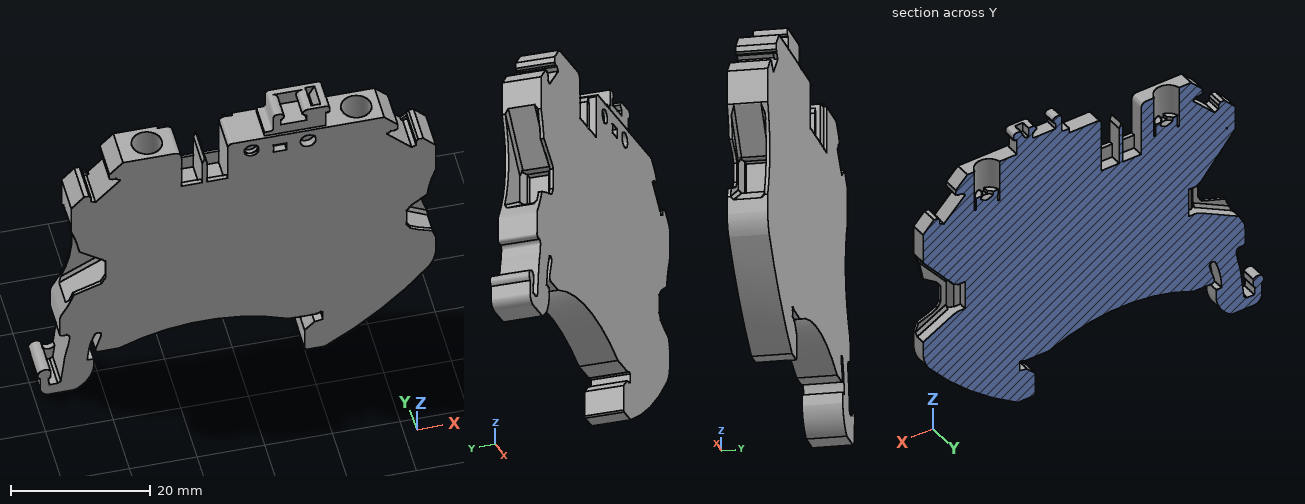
import cadquery as cq
import math

LENGTH = 58.85
THICK = 6.0
HEIGHT = 49.5
BODY_TOP = 45.55
HEAD_HALF = 26.95
MID_X = LENGTH - HEAD_HALF
SKIN = 0.55
WASTE = 0.6

SHOULDER = [
    (19.3, BODY_TOP), (21.3, 43.55), (21.3, 42.65), (20.9, 42.45), (20.3, 42.45), (19.7, 41.95),
    (23.35, 38.3), (24.0, 38.6), (24.0, 39.3), (24.3, 39.8), (25.05, 39.8), (HEAD_HALF, 37.85),
]
UPPER_UNDERCUT = [(20.9, 42.45), (20.3, 42.45), (19.7, 41.95), (20.1, 41.55), (20.9, 42.2)]
LOWER_UNDERCUT = [(23.35, 38.3), (24.0, 38.6), (24.0, 39.3), (23.05, 38.6)]
WAIST_TOP = 32.8
WAIST_Z = 25.9
WAIST_DEPTH = 1.4

SLOT_LEFT = 21.25
SLOT_RIGHT = 28.1
SLOT_FLOOR = 38.55
SLOT_LEFT_ROUND = (1.05, 0.9)
SLOT_RIGHT_ROUND = (1.0, 0.55)
SLOT_FRONT_WALL = 0.7
SLOT_POCKET_DROP = 2.35
BLADE_X = 24.65
BLADE_THICK = 0.7
BLADE_SHOULDER = 42.55
BLADE_TIP = 43.45
BACK_RECESS_LEFT = 19.05
BACK_RECESS_RIGHT = 30.1
BACK_RECESS_DEPTH = 0.5

RAIL_TOP = 7.05
RAIL_ARCH_LEFT = 12.05
RAIL_ARCH_RIGHT = 37.1
RAIL_ARCH_TOP = 9.7
RAIL_STEP = 5.75
HOOK_RADIUS = 1.05
HOOK_Z = 4.2
HOOK_WALL_OUT = 0.35
HOOK_WALL_IN = 1.9
HOOK_WEB = 1.0

SCREW_X = [16.85, 47.8]
WELL_DIA = 4.4
WELL_DEPTH = 7.05
SCREW_DIA = 4.0
SCREW_RISE = 2.05
SCREW_SLOT = 0.8
SCREW_SLOT_DEPTH = 0.6
SCREW_DIMPLE_DIA = 2.3
SCREW_CONE_DEPTH = 0.9

ENTRY_CHAMFER = 0.5
WINDOW_Y = (1.3, 4.65)
WINDOW_Z = (21.25, 26.05)
WINDOW_DEPTH = 1.2
NECK_DEPTH = 0.75
THROAT_Z = (21.0, 26.4)
LEFT_THROAT = 11.0
LEFT_OPENING = [
    (4.1, 30.0), (5.95, 28.7), (9.7, 25.95), (10.05, 25.5),
    (10.05, 22.35), (9.4, 21.2), (5.2, 19.7), (4.1, 19.4),
]
LEFT_FUNNEL = [(2.95, 35.95), (LEFT_THROAT, THROAT_Z[1]), (LEFT_THROAT, THROAT_Z[0]), (2.95, 16.8)]
RIGHT_THROAT = 53.55
RIGHT_OPENING = [
    (LENGTH + WASTE, 29.25), (57.55, 27.9), (55.3, 26.35), (54.5, 25.3),
    (54.5, 22.4), (55.1, 21.55), (56.2, 20.95), (LENGTH + WASTE, 19.8),
]
RIGHT_FUNNEL = [
    (LENGTH + 2 * WASTE, 34.1), (RIGHT_THROAT, THROAT_Z[1]), (RIGHT_THROAT, THROAT_Z[0]),
    (LENGTH + 2 * WASTE, 17.6),
]

PORT_Z = 43.45
PORT_DEPTH = 1.2
PIN_PORT_X = 31.6
PIN_PORT_DIA = 2.0
PIN_PORT_RIM_DIA = 2.1
PIN_PORT_RIM_DEPTH = 0.5
TEST_PORT_X = 39.95
TEST_PORT_DIA = 2.3
WINDOW_PORT_X = (34.85, 36.8)
WINDOW_PORT_Z = (42.3, 43.7)

CLIP_FRONT = 0.4
CLIP_BACK = 5.5
CLIP_FOOT_LEFT = 33.6
CLIP_FOOT_TOP = 46.3
CLIP_LEFT = 34.9
CLIP_RIGHT = 43.25
CLIP_NECK_RIGHT = 42.65
CLIP_LIP_BOTTOM = 48.15
CLIP_GROOVE_MOUTH_X = (35.6, 40.1)
CLIP_GROOVE_FLOOR = 47.3
CLIP_GROOVE_BACK = 4.4
CLIP_FOOT_ROUND = 0.5
CLIP_TOP_ROUND = 0.6
CLIP_SLOT_X = (40.65, 42.0)
CLIP_SLOT_FLAT = 0.55
CLIP_SLOT_Y = (1.05, 4.7)
CLIP_SLOT_DEPTH = 1.55


def sketch(y_start):
    """XZ sketch plane at y_start; a negative extrusion runs towards the back face."""
    return cq.Workplane("XZ", origin=(0, y_start, 0))


def plate(points, y_start, y_end):
    """Straight-sided profile in XZ, thickened from y_start to y_end."""
    return sketch(y_start).polyline(points).close().extrude(y_start - y_end)


def box(x_range, y_range, z_range):
    (x0, x1), (y0, y1), (z0, z1) = x_range, y_range, z_range
    return cq.Workplane("XY").box(x1 - x0, y1 - y0, z1 - z0, centered=False).translate((x0, y0, z0))


def on_side(points, side):
    """Place (distance from MID_X, Z) points on the left (-1) or right (+1) side."""
    return [(MID_X + side * distance, z) for distance, z in points]


def make_body():
    """Full-thickness outline: shoulders, waists, rail foot with hook, and the top slot."""
    left = on_side(SHOULDER, -1)
    right = on_side(SHOULDER, 1)
    left_edge = left[-1][0]
    hook_top = HOOK_Z + math.sqrt(HOOK_RADIUS**2 - (HOOK_WALL_IN - HOOK_RADIUS) ** 2)
    hook_bottom = HOOK_Z - math.sqrt(HOOK_RADIUS**2 - (HOOK_RADIUS - HOOK_WALL_OUT) ** 2)
    left_run, left_drop = SLOT_LEFT_ROUND
    right_run, right_drop = SLOT_RIGHT_ROUND
    bulge = 1 - math.sqrt(0.5)
    outline = (
        sketch(0).moveTo(*left[0]).polyline(left[1:], includeCurrent=True)
        .lineTo(left_edge, WAIST_TOP)
        .threePointArc((left_edge + WAIST_DEPTH, WAIST_Z), (3.5, 16.0))
        .threePointArc((3.3, 15.5), (3.25, 14.95))
        .lineTo(3.25, 12.25)
        .threePointArc((3.35, 11.8), (3.65, 11.7))
        .lineTo(4.3, 11.7)
        .threePointArc((4.6, 11.5), (4.7, 10.95))
        .lineTo(4.55, 9.7)
        .threePointArc((4.05, 7.6), (3.75, 5.3))
        .lineTo(3.4, 2.35)
        .lineTo(2.95, 2.0)
        .lineTo(1.7, 2.0)
        .lineTo(1.6, 3.2)
        .lineTo(HOOK_WALL_IN, 3.6)
        .lineTo(HOOK_WALL_IN, hook_top)
        .threePointArc((0, HOOK_Z), (HOOK_WALL_OUT, hook_bottom))
        .lineTo(HOOK_WALL_OUT, 1.6)
        .threePointArc((0.7, 0.5), (1.6, 0))
        .lineTo(5.55, 0)
        .threePointArc((7.55, 1.9), (8.3, 4.1))
        .lineTo(8.3, RAIL_STEP)
        .lineTo(7.35, RAIL_STEP)
        .threePointArc((7.65, 8.4), (8.4, 10.75))
        .threePointArc((9.05, 11.0), (9.35, 10.35))
        .lineTo(8.55, 7.75)
        .threePointArc((8.6, 7.3), (9.0, RAIL_TOP))
        .lineTo(RAIL_ARCH_LEFT, RAIL_TOP)
        .threePointArc(((RAIL_ARCH_LEFT + RAIL_ARCH_RIGHT) / 2, RAIL_ARCH_TOP), (RAIL_ARCH_RIGHT, RAIL_TOP))
        .lineTo(41.2, RAIL_TOP)
        .lineTo(41.85, 7.35)
        .lineTo(42.15, 7.2)
        .lineTo(42.15, RAIL_STEP)
        .lineTo(40.9, 5.55)
        .lineTo(39.45, 4.1)
        .lineTo(39.45, 0.25)
        .lineTo(39.65, 0)
        .lineTo(42.5, 0)
        .threePointArc((49.9, 5.05), (57.85, 12.95))
        .threePointArc((58.6, 14.55), (LENGTH, 16.1))
        .lineTo(LENGTH, 18.7)
        .lineTo(58.3, 20.25)
        .threePointArc((LENGTH - WAIST_DEPTH, WAIST_Z), (LENGTH, WAIST_TOP))
        .lineTo(*right[-1]).polyline(right[-2::-1], includeCurrent=True)
        .lineTo(SLOT_RIGHT + right_run, BODY_TOP)
        .threePointArc(
            (SLOT_RIGHT + right_run * bulge, BODY_TOP - right_drop * bulge),
            (SLOT_RIGHT, BODY_TOP - right_drop),
        )
        .lineTo(SLOT_RIGHT, SLOT_FLOOR)
        .lineTo(SLOT_LEFT, SLOT_FLOOR)
        .lineTo(SLOT_LEFT, BODY_TOP - left_drop)
        .threePointArc(
            (SLOT_LEFT - left_run * bulge, BODY_TOP - left_drop * bulge),
            (SLOT_LEFT - left_run, BODY_TOP),
        )
        .close()
    )
    return outline.extrude(-THICK)


def make_back_webs():
    """Thin webs along the back face that close the shoulder undercuts and the hook groove."""
    webs = (
        sketch(THICK - HOOK_WEB).moveTo(HOOK_WALL_IN, 4.65)
        .threePointArc((2.8, 4.1), (3.75, 4.75))
        .lineTo(3.9, 1.75)
        .lineTo(1.5, 1.75)
        .lineTo(1.5, 4.1)
        .close()
        .extrude(-HOOK_WEB)
    )
    for side in (-1, 1):
        for undercut in (UPPER_UNDERCUT, LOWER_UNDERCUT):
            webs = webs.union(plate(on_side(undercut, side), THICK - SKIN, THICK))
    return webs


def cut_top_slot(body):
    """Hollow the slot floor, recess the back face around it and stand the blade in it."""
    recess_front = THICK - BACK_RECESS_DEPTH
    pocket_floor = SLOT_FLOOR - SLOT_POCKET_DROP
    pocket = box((SLOT_LEFT, SLOT_RIGHT), (SLOT_FRONT_WALL, recess_front), (pocket_floor, SLOT_FLOOR + WASTE))
    recess = box((BACK_RECESS_LEFT, BACK_RECESS_RIGHT), (recess_front, THICK), (SLOT_FLOOR, BODY_TOP))
    half = BLADE_THICK / 2
    blade = plate(
        [
            (BLADE_X - half, pocket_floor), (BLADE_X - half, BLADE_SHOULDER), (BLADE_X, BLADE_TIP),
            (BLADE_X + half, BLADE_SHOULDER), (BLADE_X + half, pocket_floor),
        ],
        0, recess_front,
    )
    return body.cut(pocket).cut(recess).union(blade)


def screw_well(x):
    """Well with the slotted, dimpled screw head left standing on its floor."""
    well_floor = BODY_TOP - WELL_DEPTH
    head_top = well_floor + SCREW_RISE
    at_floor = cq.Workplane("XY", origin=(x, THICK / 2, well_floor))
    head = at_floor.circle(SCREW_DIA / 2).extrude(SCREW_RISE)
    slot = cq.Workplane("XY").box(SCREW_SLOT, SCREW_DIA, 2 * SCREW_SLOT_DEPTH)
    head = head.cut(slot.translate((x, THICK / 2, head_top)))
    dimple_radius = SCREW_DIMPLE_DIA / 2
    slot_floor = head_top - SCREW_SLOT_DEPTH
    dimple_profile = [
        (x, slot_floor - SCREW_CONE_DEPTH), (x, head_top), (x + dimple_radius, head_top),
        (x + dimple_radius, slot_floor),
    ]
    dimple = sketch(THICK / 2).polyline(dimple_profile).close().revolve(360, (x, 0), (x, 1))
    head = head.cut(dimple)
    return at_floor.circle(WELL_DIA / 2).extrude(WELL_DEPTH).cut(head)


def rectangle_wire(x, y_range, z_range):
    """Upright rectangle across the thickness at one X position."""
    (y0, y1), (z0, z1) = y_range, z_range
    return cq.Wire.makePolygon([(x, y0, z0), (x, y1, z0), (x, y1, z1), (x, y0, z1)], close=True)


def wire_entry(front_opening, funnel, throat_x, inward):
    """End pocket closed at the back, opened through the front skin, narrowing into a deeper window."""
    opening = plate(front_opening, 0, SKIN)
    cutter = plate(funnel, SKIN, THICK - SKIN)
    cutter = cutter.faces("<Y or >Y").edges("not |Z").chamfer(ENTRY_CHAMFER)
    neck_x = throat_x + inward * NECK_DEPTH
    neck_mouth = rectangle_wire(throat_x, (SKIN, THICK - SKIN), THROAT_Z)
    neck_end = rectangle_wire(neck_x, WINDOW_Y, WINDOW_Z)
    neck = cq.Workplane(cq.Solid.makeLoft([neck_mouth, neck_end], True))
    window_x = sorted((neck_x, neck_x + inward * WINDOW_DEPTH))
    return opening.union(cutter).union(neck).union(box(window_x, WINDOW_Y, WINDOW_Z))


def make_front_ports():
    """Two round ports and a square one; the first round port has a wider rim."""
    def disc(x, diameter, depth):
        return sketch(0).center(x, PORT_Z).circle(diameter / 2).extrude(-depth)

    pin_port = disc(PIN_PORT_X, PIN_PORT_DIA, PORT_DEPTH)
    pin_port = pin_port.union(disc(PIN_PORT_X, PIN_PORT_RIM_DIA, PIN_PORT_RIM_DEPTH))
    test_port = disc(TEST_PORT_X, TEST_PORT_DIA, PORT_DEPTH)
    square_port = box(WINDOW_PORT_X, (0, PORT_DEPTH), WINDOW_PORT_Z)
    return pin_port.union(test_port).union(square_port)


def make_clip():
    """Clip with an undercut groove open to the front and a wedge-shaped slot beside it."""
    clip = (
        sketch(CLIP_FRONT).moveTo(CLIP_FOOT_LEFT, BODY_TOP)
        .lineTo(CLIP_FOOT_LEFT, CLIP_FOOT_TOP)
        .lineTo(CLIP_LEFT - CLIP_FOOT_ROUND, CLIP_FOOT_TOP)
        .radiusArc((CLIP_LEFT, CLIP_FOOT_TOP + CLIP_FOOT_ROUND), -CLIP_FOOT_ROUND)
        .lineTo(CLIP_LEFT, HEIGHT - CLIP_TOP_ROUND)
        .radiusArc((CLIP_LEFT + CLIP_TOP_ROUND, HEIGHT), CLIP_TOP_ROUND)
        .lineTo(CLIP_RIGHT - CLIP_TOP_ROUND, HEIGHT)
        .radiusArc((CLIP_RIGHT, HEIGHT - CLIP_TOP_ROUND), CLIP_TOP_ROUND)
        .lineTo(CLIP_RIGHT, 48.4)
        .lineTo(43.0, CLIP_LIP_BOTTOM)
        .lineTo(CLIP_NECK_RIGHT, CLIP_LIP_BOTTOM)
        .lineTo(CLIP_NECK_RIGHT, BODY_TOP)
        .close()
        .extrude(CLIP_FRONT - CLIP_BACK)
    )
    groove_left, groove_right = CLIP_GROOVE_MOUTH_X
    groove = (
        sketch(CLIP_FRONT - WASTE).moveTo(groove_left, HEIGHT + WASTE)
        .lineTo(groove_left, HEIGHT)
        .threePointArc((36.25, 49.3), (36.55, 48.8))
        .lineTo(36.0, 48.2)
        .lineTo(36.0, CLIP_GROOVE_FLOOR)
        .lineTo(39.85, CLIP_GROOVE_FLOOR)
        .lineTo(39.85, 48.15)
        .lineTo(39.2, 48.7)
        .threePointArc((39.5, 49.25), (groove_right, HEIGHT))
        .lineTo(groove_right, HEIGHT + WASTE)
        .close()
        .extrude(CLIP_FRONT - WASTE - CLIP_GROOVE_BACK)
    )
    slot_left, slot_right = CLIP_SLOT_X
    slot_floor = HEIGHT - CLIP_SLOT_DEPTH
    slot = plate(
        [
            (slot_left, HEIGHT), (slot_left, slot_floor), (slot_left + CLIP_SLOT_FLAT, slot_floor),
            (slot_right, HEIGHT),
        ],
        *CLIP_SLOT_Y,
    )
    return clip.cut(groove).cut(slot)


result = cut_top_slot(make_body().union(make_back_webs()))
for screw_x in SCREW_X:
    result = result.cut(screw_well(screw_x))
result = result.cut(wire_entry(LEFT_OPENING, LEFT_FUNNEL, LEFT_THROAT, 1))
result = result.cut(wire_entry(RIGHT_OPENING, RIGHT_FUNNEL, RIGHT_THROAT, -1))
result = result.cut(make_front_ports()).union(make_clip())